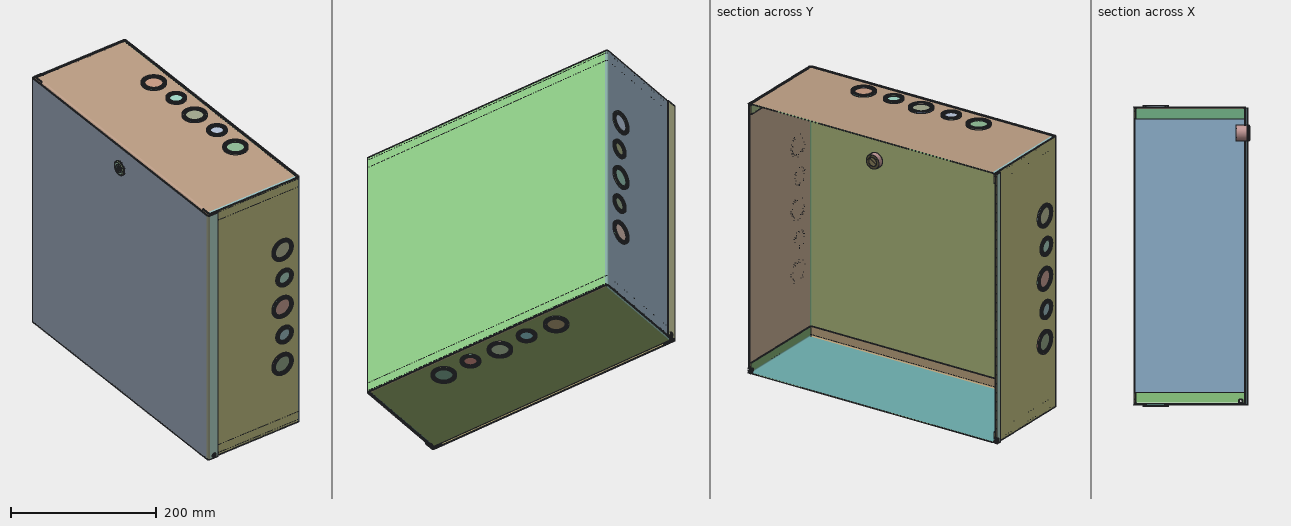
import cadquery as cq

SIZE = 412.5
DEPTH = 159.5
BACK_Y = DEPTH / 2
LOCK_FRONT_Y = -DEPTH / 2

SHEET = 1.7
BEND = 3.5
INNER_BEND = BEND - SHEET

LARGE_RINGS = ((35.0, 31.8), (28.5, 25.5))
SMALL_RINGS = ((28.5, 25.5), (22.0, 19.0))
RING_RISE = 2.0
RING_BACK_MARGIN = 12.8
LARGE_PITCH = 95.3
SMALL_OFFSET = LARGE_PITCH / 2

WALL = SIZE / 2 - RING_RISE
PAN_HALF_WIDTH = WALL - SHEET
PAN_FLANGE = 16.5
HOUSING_FRONT_Y = -74.0
FRONT_LIP_WIDTH = 16.0

LOCK_RISE = 2.65
DOOR_FRONT_Y = LOCK_FRONT_Y + LOCK_RISE
DOOR_REAR_Y = -60.2
DOOR_TOP = 203.0
DOOR_HALF_WIDTH = SIZE / 2

BUSH_Y = -67.2
BUSH_Z = -199.2
BUSH_DIAMETER = 6.5
BUSH_BORE = 4.0
BUSH_LENGTH = DOOR_HALF_WIDTH - WALL + 2 * SHEET

LOCK_Z = 168.5
LOCK_DIAMETER = 22.0
LOCK_FACE_DIAMETER = 18.5
LOCK_LENGTH = 16.5
LOCK_REAR_Y = DOOR_FRONT_Y + LOCK_LENGTH
CORE_DIAMETER = 12.0
KEY_HOLE = 6.5
KEY_PIN = 3.67
KEY_SLOT_LENGTH = 10.7
KEY_SLOT_WIDTH = 5.5
KEY_DEPTH = 4.0


def block(x_range, y_range, z_range):
    """A box between the two given limits on each axis."""
    (x0, x1), (y0, y1), (z0, z1) = x_range, y_range, z_range
    box = cq.Workplane("XY").box(x1 - x0, y1 - y0, z1 - z0, centered=False)
    return box.translate((x0, y0, z0))


def lock_rod(diameter, front_y, rear_y):
    """A cylinder on the lock axis."""
    return cq.Workplane("XZ", origin=(0, front_y, LOCK_Z)).circle(diameter / 2).extrude(front_y - rear_y)


def make_walls():
    """Left, back and right walls as one bent sheet."""
    outer = block((-WALL, WALL), (HOUSING_FRONT_Y, BACK_Y), (-WALL, WALL))
    outer = outer.edges("|Z and >Y").fillet(BEND)
    room = block((-PAN_HALF_WIDTH, PAN_HALF_WIDTH), (HOUSING_FRONT_Y, BACK_Y - SHEET), (-WALL, WALL))
    room = room.edges("|Z and >Y").fillet(INNER_BEND)
    return outer.cut(room)


def make_pans():
    """Top and bottom pans inside the walls, with flanges bent along all four edges."""
    outer = block((-PAN_HALF_WIDTH, PAN_HALF_WIDTH), (HOUSING_FRONT_Y, BACK_Y - SHEET), (-WALL, WALL))
    outer = outer.edges("|Z and >Y").fillet(INNER_BEND)
    outer = outer.faces("|Z").edges().fillet(BEND)
    room_half_width = PAN_HALF_WIDTH - SHEET
    room = block(
        (-room_half_width, room_half_width),
        (HOUSING_FRONT_Y + SHEET, BACK_Y - 2 * SHEET),
        (-WALL + SHEET, WALL - SHEET),
    )
    room = room.faces("|Z").edges().fillet(INNER_BEND)
    flange_end = WALL - PAN_FLANGE
    between_pans = block((-WALL, WALL), (HOUSING_FRONT_Y, BACK_Y), (-flange_end, flange_end))
    return outer.cut(room).cut(between_pans)


def make_front_lips():
    """Upright lips that turn in from the front edges of the side walls."""
    right = block(
        (WALL - FRONT_LIP_WIDTH, WALL),
        (HOUSING_FRONT_Y, HOUSING_FRONT_Y + SHEET),
        (-WALL, WALL),
    )
    return right, right.mirror("YZ")


def make_knockout(rings, x):
    """The raised rings of one knockout on the top wall, rooted at mid-thickness of the sheet."""
    y = BACK_Y - RING_BACK_MARGIN - rings[0][0] / 2
    root_z = WALL - SHEET / 2
    base = cq.Workplane("XY", origin=(x, y, root_z))
    height = SIZE / 2 - root_z
    return [base.circle(outer / 2).circle(inner / 2).extrude(height) for outer, inner in rings]


def make_housing():
    body = make_walls().union(make_pans())
    for lip in make_front_lips():
        body = body.union(lip)
    knockout_rings = []
    for x in (-LARGE_PITCH, 0, LARGE_PITCH):
        knockout_rings += make_knockout(LARGE_RINGS, x)
    for x in (-SMALL_OFFSET, SMALL_OFFSET):
        knockout_rings += make_knockout(SMALL_RINGS, x)
    for angle in (0, 90, 180, 270):
        for ring in knockout_rings:
            body = body.union(ring.rotate((0, 0, 0), (0, 1, 0), angle))
    for side in (-1, 1):
        body = body.cut(make_bush_envelope(side))
    return body


def make_door():
    outer = block((-DOOR_HALF_WIDTH, DOOR_HALF_WIDTH), (DOOR_FRONT_Y, DOOR_REAR_Y), (-WALL, DOOR_TOP))
    outer = outer.edges("|Z and <Y").fillet(BEND)
    room = block((-WALL, WALL), (DOOR_FRONT_Y + SHEET, DOOR_REAR_Y), (-WALL, DOOR_TOP))
    room = room.edges("|Z and <Y").fillet(INNER_BEND)
    door = outer.cut(room)
    for side in (-1, 1):
        door = door.cut(make_bush_envelope(side))
    return door.cut(lock_rod(LOCK_DIAMETER, DOOR_FRONT_Y, LOCK_REAR_Y))


def make_bush_envelope(side):
    """The solid cylinder that a bush fills; side is -1 for left, 1 for right."""
    start = (side * DOOR_HALF_WIDTH, BUSH_Y, BUSH_Z)
    return cq.Workplane("YZ", origin=start).circle(BUSH_DIAMETER / 2).extrude(-side * BUSH_LENGTH)


def make_hinge_bush(side):
    """A tubular hinge bush, open right through."""
    return make_bush_envelope(side).faces(">X").workplane().hole(BUSH_BORE)


def make_lock_barrel():
    """Barrel with a cone-shaped head in front of the door and a bore for the core."""
    head = (
        cq.Workplane("XZ", origin=(0, DOOR_FRONT_Y, LOCK_Z))
        .circle(LOCK_DIAMETER / 2)
        .extrude(LOCK_RISE)
        .faces("<Y")
        .chamfer(LOCK_RISE / 2, (LOCK_DIAMETER - LOCK_FACE_DIAMETER) / 2)
    )
    barrel = head.union(lock_rod(LOCK_DIAMETER, DOOR_FRONT_Y, LOCK_REAR_Y))
    return barrel.cut(lock_rod(CORE_DIAMETER, LOCK_FRONT_Y, LOCK_REAR_Y))


def make_lock_core():
    """Core with a round key hole, two bit slots and a pin in the middle."""
    key_end = LOCK_FRONT_Y + KEY_DEPTH
    core = lock_rod(CORE_DIAMETER, LOCK_FRONT_Y, LOCK_REAR_Y)
    core = core.cut(lock_rod(KEY_HOLE, LOCK_FRONT_Y, key_end))
    slots = block(
        (-KEY_SLOT_LENGTH / 2, KEY_SLOT_LENGTH / 2),
        (LOCK_FRONT_Y, key_end),
        (LOCK_Z - KEY_SLOT_WIDTH / 2, LOCK_Z + KEY_SLOT_WIDTH / 2),
    )
    return core.cut(slots).union(lock_rod(KEY_PIN, LOCK_FRONT_Y, key_end))


housing = make_housing()
door = make_door()
lock_barrel = make_lock_barrel()
lock_core = make_lock_core()
hinge_bushes = [make_hinge_bush(side) for side in (-1, 1)]

result = cq.Compound.makeCompound(
    [
        housing.val(),
        door.val(),
        lock_barrel.val(),
        lock_core.val(),
        *[bush.val() for bush in hinge_bushes],
    ]
)